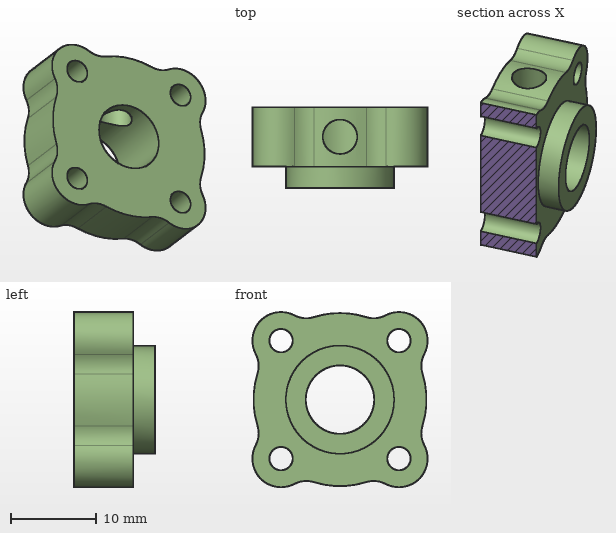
import cadquery as cq
import math

plate_thickness = 6.985
boss_length = 2.54
boss_diameter = 12.7
bore_diameter = 8.0
rim_radius = 10.16
bolt_circle_diameter = 19.558
bolt_hole_diameter = 2.71
lobe_radius = 3.37
blend_radius = 3.0
set_screw_diameter = 4.04

bolt_circle_radius = bolt_circle_diameter / 2
bolt_offset = bolt_circle_radius / math.sqrt(2)
set_screw_y = plate_thickness / 2
bolt_count = 4
bolt_spacing_angle = 360 / bolt_count
bolt_angles = [bolt_spacing_angle * (index + 0.5) for index in range(bolt_count)]


def polar(radius, angle_deg):
    """Point at a radius and angle from the part axis."""
    angle = math.radians(angle_deg)
    return (radius * math.cos(angle), radius * math.sin(angle))


def toward(start, end, distance):
    """Point at a distance from start along the line to end."""
    share = distance / math.dist(start, end)
    return (start[0] + share * (end[0] - start[0]), start[1] + share * (end[1] - start[1]))


def make_outline():
    """Closed plate outline: four rim arcs and four lobes, joined by tangent blends."""
    blend_distance = rim_radius + blend_radius
    lobe_to_blend = lobe_radius + blend_radius
    blend_angle = math.degrees(math.acos(
        (blend_distance**2 + bolt_circle_radius**2 - lobe_to_blend**2)
        / (2 * blend_distance * bolt_circle_radius)
    ))

    outline = cq.Workplane("XZ").moveTo(*polar(rim_radius, bolt_angles[-1] + blend_angle))
    for angle in bolt_angles:
        lobe_center = polar(bolt_circle_radius, angle)
        blend_in = polar(blend_distance, angle - blend_angle)
        blend_out = polar(blend_distance, angle + blend_angle)
        rim_end = polar(rim_radius, angle - blend_angle)
        rim_start = polar(rim_radius, angle + blend_angle)
        lobe_start = toward(blend_in, lobe_center, blend_radius)
        lobe_end = toward(blend_out, lobe_center, blend_radius)
        mid_in = [(a + b) / 2 for a, b in zip(rim_end, lobe_start)]
        mid_out = [(a + b) / 2 for a, b in zip(rim_start, lobe_end)]

        outline = outline.threePointArc(polar(rim_radius, angle - bolt_spacing_angle / 2), rim_end)
        outline = outline.threePointArc(toward(blend_in, mid_in, blend_radius), lobe_start)
        outline = outline.threePointArc(polar(bolt_circle_radius + lobe_radius, angle), lobe_end)
        outline = outline.threePointArc(toward(blend_out, mid_out, blend_radius), rim_start)
    return outline.close()


def make_body():
    """Plate behind the XZ plane with the round boss on its -Y face."""
    plate = make_outline().extrude(-plate_thickness)
    boss = cq.Workplane("XZ").circle(boss_diameter / 2).extrude(boss_length)
    return plate.union(boss)


def cut_holes(body):
    """Central bore and the four bolt holes, all through along Y."""
    hole_length = plate_thickness + boss_length
    profile = cq.Workplane("XZ", origin=(0, -boss_length, 0))
    bore = profile.circle(bore_diameter / 2).extrude(-hole_length)
    bolts = (
        profile.rect(2 * bolt_offset, 2 * bolt_offset, forConstruction=True)
        .vertices()
        .circle(bolt_hole_diameter / 2)
        .extrude(-hole_length)
    )
    return body.cut(bore).cut(bolts)


def cut_set_screw_hole(body):
    """Radial hole from the +Z side into the bore."""
    hole = (
        cq.Workplane("XY", origin=(0, set_screw_y, 0))
        .circle(set_screw_diameter / 2)
        .extrude(rim_radius)
    )
    return body.cut(hole)


result = cut_set_screw_hole(cut_holes(make_body()))